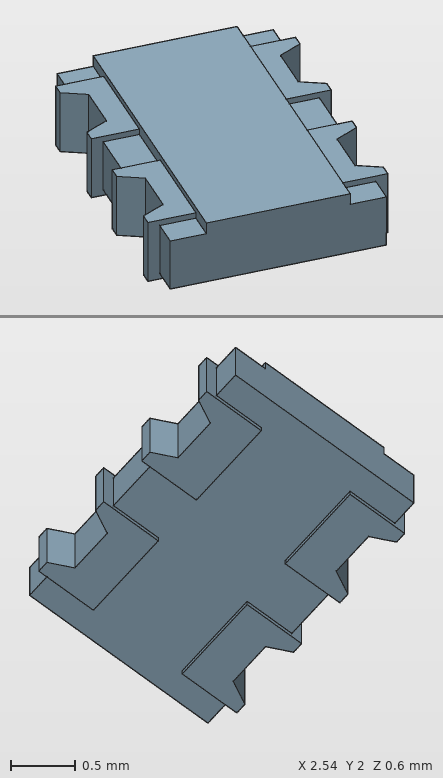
import cadquery as cq

length = 2.54
overall_depth = 2.0
overall_height = 0.6
wall = 0.1
plate = 0.05
cover_depth = 1.2
terminal_width = 0.8
terminal_pitch = 1.27
foot_length = 0.55
notch_mouth = 0.6
notch_floor = 0.4
notch_depth = 0.2

outer_y = overall_depth / 2
substrate_y = outer_y - wall
substrate_bottom = plate
substrate_top = overall_height - wall
terminal_height = substrate_top + plate
terminal_places = [
    (x, side)
    for x in (-terminal_pitch / 2, terminal_pitch / 2)
    for side in (-1, 1)
]


def slab(width, y_inner, y_outer, z_bottom, z_top):
    """Box centred on X, between the given Y and Z limits."""
    return (
        cq.Workplane("XY", origin=(0, (y_inner + y_outer) / 2, z_bottom))
        .box(width, y_outer - y_inner, z_top - z_bottom, centered=(True, True, False))
    )


def notch(mouth_y):
    """Full-height trapezoidal prism that narrows inward from mouth_y."""
    return (
        cq.Workplane("XY")
        .polyline([
            (-notch_mouth / 2, mouth_y),
            (-notch_floor / 2, mouth_y - notch_depth),
            (notch_floor / 2, mouth_y - notch_depth),
            (notch_mouth / 2, mouth_y),
        ])
        .close()
        .extrude(overall_height)
    )


def place(shape, x, side):
    """Move a shape modelled on the +Y side to its terminal position."""
    if side < 0:
        shape = shape.mirror("XZ")
    return shape.translate((x, 0, 0))


def make_body():
    """Notched substrate with the raised cover along its middle."""
    body = slab(length, -substrate_y, substrate_y, substrate_bottom, substrate_top)
    for x, side in terminal_places:
        body = body.cut(place(notch(substrate_y), x, side))
    cover = slab(length, -cover_depth / 2, cover_depth / 2, substrate_top, overall_height)
    return body.union(cover)


def make_terminal():
    """C-shaped terminal whose side wall follows the substrate notch."""
    side_wall = slab(terminal_width, substrate_y, outer_y, 0, terminal_height)
    top_plate = slab(terminal_width, cover_depth / 2, outer_y, substrate_top, terminal_height)
    foot = slab(terminal_width, outer_y - foot_length, outer_y, 0, plate)
    notch_lining = notch(substrate_y).intersect(
        slab(terminal_width, 0, outer_y, 0, terminal_height)
    )
    terminal = side_wall.union(top_plate).union(foot).union(notch_lining)
    return terminal.cut(notch(outer_y))


body = make_body()
terminals = [place(make_terminal(), x, side) for x, side in terminal_places]

terminal_solids = [terminal.solids().val() for terminal in terminals]

result = cq.Compound.makeCompound([body.solids().val(), *terminal_solids])